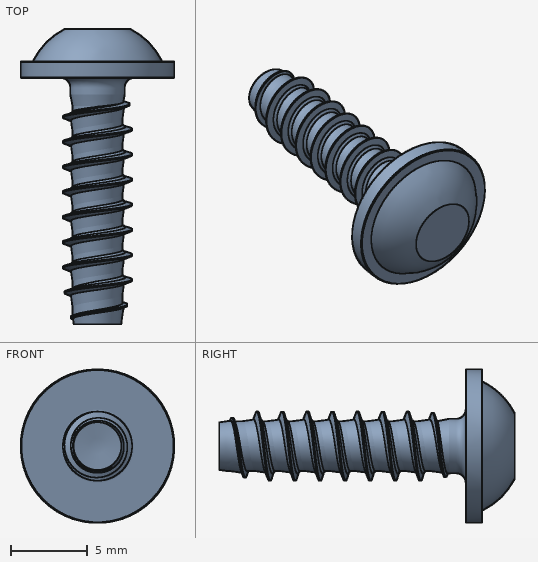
import cadquery as cq
import math


flange_diameter = 10.0
flange_thickness = 1.1
flange_edge_chamfer = 0.06
head_height = 3.2
dome_base_radius = 4.2
dome_flat_radius = 2.13

shank_length = 16.0
neck_radius = 1.78
neck_end = 1.08
neck_fillet = 0.6
core_radius = 1.63
neck_cone_end = 1.83
tip_radius = 1.55
tip_slope = 0.15
tip_dimple_depth = 0.15

pitch = 1.63
crest_radius = 2.25
crest_half_width = 0.045
first_crest = 3.34
head_flank_reach = 0.33
flank_kink_radius = 1.8
flank_kink_reach = 0.17
tip_flank_reach = 0.24
root_high_radius = 1.73
root_slope_reach = 0.95
buried_radius = 1.4
root_body_start = 0.05

full_thread_start = -0.5
full_thread_end = 6.25
lead_in_turns = 1.0
lead_in_drop = 0.32
run_out_turns = 1.5
run_out_drop = 0.415


def revolve_outline(outline):
    """Turn an outline drawn in the YZ plane about the Z axis."""
    return outline.close().revolve(360, (0, 0, 0), (0, 1, 0))


def make_head():
    """Domed head on a flange with small edge chamfers, flat on top."""
    dome_height = head_height - flange_thickness
    centre = (dome_flat_radius**2 - dome_base_radius**2 + dome_height**2) / (2 * dome_height)
    sphere_radius = math.hypot(dome_base_radius, centre)
    middle_height = dome_height / 2
    middle_radius = math.sqrt(sphere_radius**2 - (middle_height - centre) ** 2)
    flange_radius = flange_diameter / 2
    return revolve_outline(
        cq.Workplane("YZ")
        .lineTo(flange_radius - flange_edge_chamfer, 0)
        .lineTo(flange_radius, -flange_edge_chamfer)
        .lineTo(flange_radius, flange_edge_chamfer - flange_thickness)
        .lineTo(flange_radius - flange_edge_chamfer, -flange_thickness)
        .lineTo(dome_base_radius, -flange_thickness)
        .threePointArc((middle_radius, -flange_thickness - middle_height), (dome_flat_radius, -head_height))
        .lineTo(0, -head_height)
    )


def make_neck():
    """Plain neck, filleted into the flange and tapering to the thread core."""
    fillet_top = neck_radius + neck_fillet
    bend = neck_fillet * math.sqrt(0.5)
    return revolve_outline(
        cq.Workplane("YZ")
        .lineTo(fillet_top, 0)
        .threePointArc((fillet_top - bend, neck_fillet - bend), (neck_radius, neck_fillet))
        .lineTo(neck_radius, neck_end)
        .lineTo(core_radius, neck_cone_end)
        .lineTo(0, neck_cone_end)
    )


def make_core_limit():
    """Envelope of the threaded core: tapered at the tip, with a conical dimple in the end face."""
    length = shank_length - neck_end
    return revolve_outline(
        cq.Workplane("YZ")
        .moveTo(0, neck_end)
        .lineTo(tip_radius + tip_slope * length, neck_end)
        .lineTo(tip_radius, shank_length)
        .lineTo(0, shank_length - tip_dimple_depth)
    )


def helix_edge(radius, axial, turns, radius_change):
    """Helix starting on the +X side; radius_change is the radial drift per turn."""
    if radius_change == 0:
        helix = cq.Wire.makeHelix(pitch, pitch * turns, radius)
    else:
        slant_pitch = math.hypot(pitch, radius_change)
        cone_angle = math.degrees(math.atan2(radius_change, pitch))
        helix = cq.Wire.makeHelix(slant_pitch, slant_pitch * turns, radius, angle=cone_angle)
    return helix.translate(cq.Vector(0, 0, axial)).Edges()[0]


def helical_body(section, start, turns, radius_change=0.0):
    """Solid swept by a (radius, axial) section along the thread helix; start is counted in turns."""
    edges = [helix_edge(radius, axial, turns, radius_change) for radius, axial in section]
    faces = [cq.Face.makeRuledSurface(edges[i - 1], edges[i]) for i in range(len(edges))]
    for end in (0, 1):
        corners = [edge.positionAt(end) for edge in edges]
        faces.append(cq.Face.makeFromWires(cq.Wire.makePolygon(corners, close=True)))
    body = cq.Workplane(obj=cq.Solid.makeSolid(cq.Shell.makeShell(faces)))
    body = body.rotate((0, 0, 0), (0, 0, 1), 360 * start)
    return body.translate((0, 0, first_crest + pitch * start))


def make_core():
    """Cylindrical core with the helical sloping root of the thread."""
    slope = (root_high_radius - core_radius) / (root_slope_reach - tip_flank_reach)
    root_start_radius = core_radius + slope * (root_slope_reach - root_body_start)
    root_section = [
        (buried_radius, root_body_start),
        (root_start_radius, root_body_start),
        (core_radius, root_slope_reach),
        (buried_radius, root_slope_reach),
    ]
    start = full_thread_start - lead_in_turns
    turns = full_thread_end + run_out_turns - start
    root = helical_body(root_section, start, turns)
    cylinder = cq.Workplane("XY").circle(core_radius).extrude(shank_length)
    return cylinder.union(root).intersect(make_core_limit())


def blade_section(drop):
    """Thread ridge section with its crest lowered by drop."""
    outline = [
        (buried_radius, -head_flank_reach),
        (core_radius, -head_flank_reach),
        (flank_kink_radius, -flank_kink_reach),
        (crest_radius, -crest_half_width),
        (crest_radius, crest_half_width),
        (root_high_radius, tip_flank_reach),
        (buried_radius, tip_flank_reach),
    ]
    return [(radius - drop, axial) for radius, axial in outline]


def make_blades():
    """Thread ridge: lead-in growing from the neck, full thread, and run-out to the tip."""
    lead_in = helical_body(
        blade_section(lead_in_drop * lead_in_turns),
        full_thread_start - lead_in_turns,
        lead_in_turns,
        lead_in_drop,
    )
    full = helical_body(blade_section(0), full_thread_start, full_thread_end - full_thread_start)
    run_out = helical_body(blade_section(0), full_thread_end, run_out_turns, -run_out_drop)
    limit = (
        cq.Workplane("XY", origin=(0, 0, neck_end))
        .circle(flange_diameter / 2)
        .extrude(shank_length - tip_dimple_depth - neck_end)
    )
    return [lead_in.intersect(limit), full, run_out.intersect(limit)]


screw = make_head().union(make_neck()).union(make_core())
for blade in make_blades():
    screw = screw.union(blade)

result = screw.rotate((0, 0, 0), (1, 0, 0), 90)